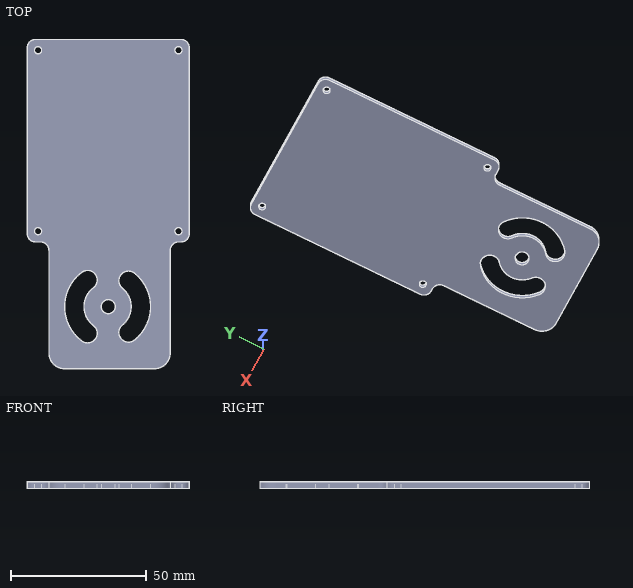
import cadquery as cq
import math

overall_length = 122.0
thickness = 2.6

panel_width = 60.0
panel_length = 75.0
panel_corner_radius = 3.0
panel_hole_inset = 4.0
panel_hole_diameter = 2.6

tab_width = 45.0
tab_offset = 0.5
tab_corner_radius = 6.0
neck_fillet_radius = 3.0

pivot_height = 23.0
pivot_diameter = 5.1
slot_offset = -0.2
slot_inner_radius = 8.8
slot_outer_radius = 15.9
left_slot_half_angle = 53.0
right_slot_half_angle = 51.0

panel_bottom = overall_length - panel_length
panel_middle = panel_bottom + panel_length / 2


def plate_blank():
    """Panel and tab joined into one plate, with every outline corner rounded."""
    panel = (
        cq.Workplane("XY")
        .center(0, panel_middle)
        .rect(panel_width, panel_length)
        .extrude(thickness)
        .edges("|Z")
        .fillet(panel_corner_radius)
    )
    tab = (
        cq.Workplane("XY")
        .center(tab_offset, panel_middle / 2)
        .rect(tab_width, panel_middle)
        .extrude(thickness)
        .edges("|Z and <Y")
        .fillet(tab_corner_radius)
    )
    plate = panel.union(tab)
    for side in (-1, 1):
        neck_corner = (tab_offset + side * tab_width / 2, panel_bottom, thickness / 2)
        neck_edge = cq.selectors.NearestToPointSelector(neck_corner)
        plate = plate.edges("|Z").edges(neck_edge).fillet(neck_fillet_radius)
    return plate


def panel_holes():
    """Through holes at the four corners of the panel."""
    spacing_x = panel_width - 2 * panel_hole_inset
    spacing_y = panel_length - 2 * panel_hole_inset
    return (
        cq.Workplane("XY")
        .center(0, panel_middle)
        .rect(spacing_x, spacing_y, forConstruction=True)
        .vertices()
        .circle(panel_hole_diameter / 2)
        .extrude(thickness)
    )


def pivot_hole():
    """Through hole between the curved slots."""
    return cq.Workplane("XY").center(0, pivot_height).circle(pivot_diameter / 2).extrude(thickness)


def curved_slot(side, half_angle):
    """Round-ended slot curving round the pivot; side is -1 for left and +1 for right."""

    def polar(radius, angle):
        return (
            side * radius * math.cos(math.radians(angle)),
            radius * math.sin(math.radians(angle)),
        )

    middle_radius = (slot_inner_radius + slot_outer_radius) / 2
    cap_radius = (slot_outer_radius - slot_inner_radius) / 2
    cap_angle = half_angle + math.degrees(math.atan2(cap_radius, middle_radius))
    cap_distance = math.hypot(cap_radius, middle_radius)
    return (
        cq.Workplane("XY")
        .center(slot_offset, pivot_height)
        .moveTo(*polar(slot_outer_radius, -half_angle))
        .threePointArc(polar(slot_outer_radius, 0), polar(slot_outer_radius, half_angle))
        .threePointArc(polar(cap_distance, cap_angle), polar(slot_inner_radius, half_angle))
        .threePointArc(polar(slot_inner_radius, 0), polar(slot_inner_radius, -half_angle))
        .threePointArc(polar(cap_distance, -cap_angle), polar(slot_outer_radius, -half_angle))
        .close()
        .extrude(thickness)
    )


result = (
    plate_blank()
    .cut(panel_holes())
    .cut(pivot_hole())
    .cut(curved_slot(-1, left_slot_half_angle))
    .cut(curved_slot(1, right_slot_half_angle))
)